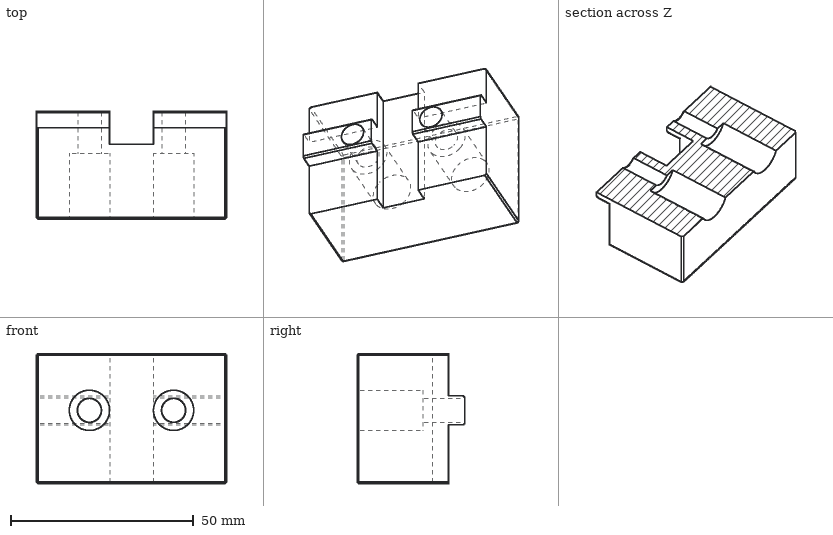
import cadquery as cq

width = 52.0
body_depth = 25.0
height = 35.5
edge_chamfer = 0.5

key_projection = 4.5
key_height = 8.0
key_center_z = 20.0
key_chamfer = 0.5

slot_width = 12.0
slot_floor_y = 20.5

hole_spacing = 23.0
hole_diameter = 6.5
counterbore_diameter = 11.0
counterbore_depth = 18.0


def make_body():
    """Block with every edge chamfered except those around the back face."""
    block = cq.Workplane("XY").box(width, body_depth, height, centered=(True, False, False))
    return block.edges("|Y or <Y").chamfer(edge_chamfer)


def make_key():
    """Full-width key on the back face, with its two long tip edges chamfered."""
    key = (
        cq.Workplane("XY")
        .box(width, key_projection, key_height, centered=(True, False, True))
        .translate((0, body_depth, key_center_z))
    )
    return key.faces(">Y").edges("|X").chamfer(key_chamfer)


def make_slot():
    """Cutter for the slot, open at the back, top and underside."""
    slot_depth = body_depth + key_projection - slot_floor_y
    return (
        cq.Workplane("XY")
        .box(slot_width, slot_depth, height, centered=(True, False, False))
        .translate((0, slot_floor_y, 0))
    )


def make_bolt_hole(x):
    """Cutter for one hole through body and key, counterbored from the front."""
    front = cq.Workplane("XZ", origin=(x, 0, key_center_z))
    through = front.circle(hole_diameter / 2).extrude(-(body_depth + key_projection))
    counterbore = front.circle(counterbore_diameter / 2).extrude(-counterbore_depth)
    return through.union(counterbore)


result = make_body().union(make_key()).cut(make_slot())
for hole_x in (-hole_spacing / 2, hole_spacing / 2):
    result = result.cut(make_bolt_hole(hole_x))